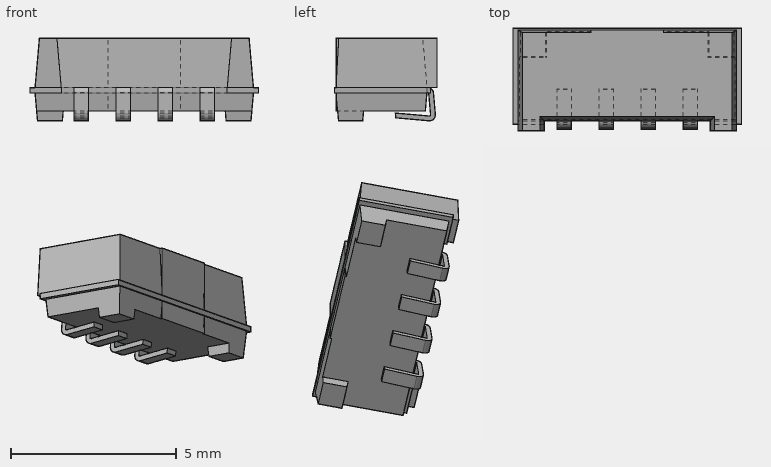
import cadquery as cq
import math

length = 6.9
depth = 3.1
height = 2.5
floor_z = 0.3
plate_bottom_z = 0.84
plate_top_z = 1.01

back_y = depth / 2
front_y = -depth / 2
wall_back_y = back_y - 0.05
draft = math.tan(math.radians(5))
back_draft = 0.08 / (height - plate_top_z)

body_half = 3.3
recess_half = 2.505
recess_y = back_y - 2.795
plate_front_y = back_y - 2.9
pad_half = 1.1
pad_inner_y = 0.0

foot_inner_half = 2.44
foot_front_y = back_y - 0.88

lead_count = 4
lead_pitch = 1.27
lead_width = 0.44
lead_thickness = 0.15
lead_outer_radius = 0.185
lead_shoulder_radius = 0.185
lead_foot_length = 1.035
lead_embed = 0.21
lead_lean = math.radians(5)
lead_reach_y = back_y - 3.05


def u_outline(side, back, front, notch_half, notch_y):
    """Rectangle with a wide notch in its front edge."""
    return [
        (-side, back), (side, back), (side, front), (notch_half, front),
        (notch_half, notch_y), (-notch_half, notch_y), (-notch_half, front), (-side, front),
    ]


def loft_outlines(lower, lower_z, upper, upper_z):
    """Ruled solid between two matching outlines."""
    return (
        cq.Workplane("XY", origin=(0, 0, lower_z)).polyline(lower).close()
        .workplane(offset=upper_z - lower_z).polyline(upper).close()
        .loft(ruled=True)
    )


def rectangle(left, right, front, back):
    return [(left, front), (right, front), (right, back), (left, back)]


def make_cover():
    rise = height - plate_top_z
    shift = rise * draft
    lower = u_outline(body_half, wall_back_y, front_y, recess_half, recess_y)
    upper = u_outline(body_half - shift, wall_back_y - rise * back_draft, front_y,
                      recess_half + shift, recess_y + shift)
    return loft_outlines(lower, plate_top_z, upper, height)


def make_plate():
    outline = u_outline(length / 2, back_y, plate_front_y, recess_half, recess_y)
    return (
        cq.Workplane("XY", origin=(0, 0, plate_bottom_z))
        .polyline(outline).close().extrude(plate_top_z - plate_bottom_z)
    )


def make_base():
    shift = (plate_bottom_z - floor_z) * draft
    upper = rectangle(-body_half, body_half, recess_y, wall_back_y)
    lower = rectangle(-body_half + shift, body_half - shift, recess_y + shift, wall_back_y - shift)
    return loft_outlines(lower, floor_z, upper, plate_bottom_z)


def make_back_pad():
    """Upright pad filling the drafted back wall to a flat face."""
    pad_outline = rectangle(-pad_half, pad_half, pad_inner_y, wall_back_y)
    return (
        cq.Workplane("XY", origin=(0, 0, floor_z))
        .polyline(pad_outline).close().extrude(height - floor_z)
    )


def make_foot():
    """Right-hand foot, continuing the draft of the base."""
    top_shift = (plate_bottom_z - floor_z) * draft
    bottom_shift = plate_bottom_z * draft
    foot_shift = floor_z * draft
    upper = rectangle(foot_inner_half, body_half - top_shift, foot_front_y, wall_back_y - top_shift)
    lower = rectangle(foot_inner_half + foot_shift, body_half - bottom_shift,
                      foot_front_y + foot_shift, wall_back_y - bottom_shift)
    return loft_outlines(lower, 0, upper, floor_z)


def make_lead(x):
    """Bent strip: tab in the plate, leaning shank, and foot folded back under the base."""
    sin_lean = math.sin(lead_lean)
    cos_lean = math.cos(lead_lean)
    inner_radius = lead_outer_radius - lead_thickness
    bend_y = lead_reach_y + lead_outer_radius
    bend_z = lead_outer_radius

    def bend_corner(radius):
        """Sharp corner of the shank and foot lines tangent to the bend circle."""
        offset = radius * (sin_lean + cos_lean) / math.cos(2 * lead_lean)
        return bend_y - offset, bend_z - offset

    def foot_end(radius):
        return (bend_y + lead_foot_length * cos_lean - radius * sin_lean,
                bend_z + lead_foot_length * sin_lean - radius * cos_lean)

    def shank_point(corner, z):
        return corner[0] + (z - corner[1]) * math.tan(lead_lean), z

    outer = bend_corner(lead_outer_radius)
    inner = bend_corner(inner_radius)
    shoulder = shank_point(outer, plate_top_z)
    armpit = shank_point(inner, plate_top_z - lead_thickness)
    tab_y = recess_y + lead_embed
    outline = [
        (tab_y, shoulder[1]), shoulder, outer, foot_end(lead_outer_radius),
        foot_end(inner_radius), inner, armpit, (tab_y, armpit[1]),
    ]
    lead = (
        cq.Workplane("YZ", origin=(x - lead_width / 2, 0, 0))
        .polyline(outline).close().extrude(lead_width)
    )
    for corner, radius in (
        (outer, lead_outer_radius), (inner, inner_radius), (shoulder, lead_shoulder_radius),
    ):
        edge_point = (x, corner[0], corner[1])
        lead = lead.edges(cq.selectors.NearestToPointSelector(edge_point)).fillet(radius)
    return lead


right_foot = make_foot()
result = make_cover().union(make_plate()).union(make_base()).union(make_back_pad())
result = result.union(right_foot).union(right_foot.mirror("YZ"))
for index in range(lead_count):
    lead_x = (index - (lead_count - 1) / 2) * lead_pitch
    result = result.union(make_lead(lead_x))